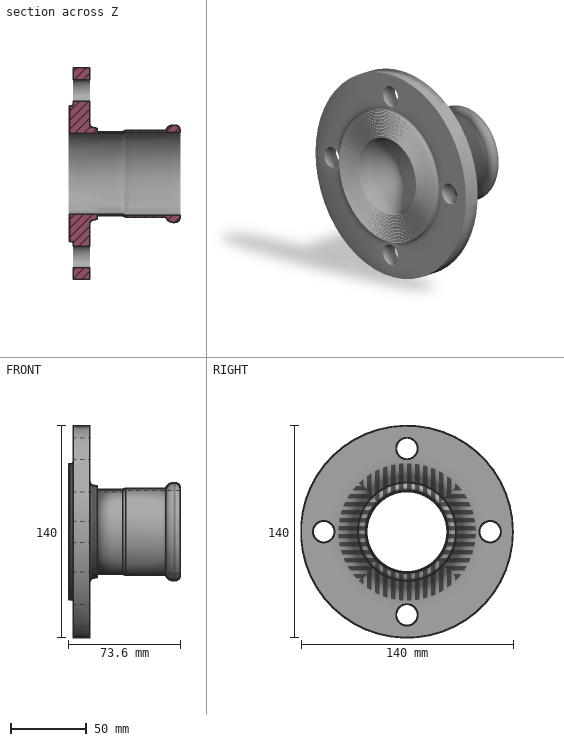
import cadquery as cq
import math

flange_radius = 70.0
flange_front = 3.0
flange_back = 14.0
overall_length = 73.6

face_radius = 90.0 / 2
face_fillet = 0.8
groove_count = 19
groove_depth = 0.5

collar_fillet = 2.4
collar_root_radius = 30.7
collar_end_radius = 30.1
collar_end = 18.9

pipe_radius = 56.0 / 2
pipe_bore_radius = 53.0 / 2
socket_radius = 57.5 / 2
socket_bore_radius = 54.7 / 2
step_start = 35.7
step_end = 37.7

bead_radius = 32.3
bead_back_rounding = 5.5
bead_mouth_rounding = 3.8
bead_land_width = 0.7
bead_land_end = overall_length - bead_mouth_rounding
bead_land_start = bead_land_end - bead_land_width

bolt_count = 4
bolt_diameter = 14.0
bolt_circle_radius = 54.9


def arc_point(centre_x, centre_y, radius, degrees):
    angle = math.radians(degrees)
    return (centre_x + radius * math.cos(angle), centre_y + radius * math.sin(angle))


def revolve_about_x(profile):
    return profile.close().revolve(360, (0, 0, 0), (1, 0, 0))


def make_body():
    face_fillet_x = flange_front - face_fillet
    face_fillet_mid = arc_point(face_fillet_x, face_radius + face_fillet, face_fillet, -45)
    collar_fillet_x = flange_back + collar_fillet
    collar_fillet_y = collar_root_radius + collar_fillet
    collar_fillet_mid = arc_point(collar_fillet_x, collar_fillet_y, collar_fillet, -135)
    back_centre_y = bead_radius - bead_back_rounding
    bead_start_angle = 180 - math.degrees(math.asin((socket_radius - back_centre_y) / bead_back_rounding))
    bead_start = arc_point(bead_land_start, back_centre_y, bead_back_rounding, bead_start_angle)
    back_mid_angle = (bead_start_angle + 90) / 2
    back_mid = arc_point(bead_land_start, back_centre_y, bead_back_rounding, back_mid_angle)
    mouth_centre_y = bead_radius - bead_mouth_rounding
    mouth_mid = arc_point(bead_land_end, mouth_centre_y, bead_mouth_rounding, 45)
    profile = (
        cq.Workplane("XY")
        .moveTo(0, pipe_bore_radius)
        .lineTo(0, face_radius)
        .lineTo(face_fillet_x, face_radius)
        .threePointArc(face_fillet_mid, (flange_front, face_radius + face_fillet))
        .lineTo(flange_front, flange_radius)
        .lineTo(flange_back, flange_radius)
        .lineTo(flange_back, collar_fillet_y)
        .threePointArc(collar_fillet_mid, (collar_fillet_x, collar_root_radius))
        .lineTo(collar_end, collar_end_radius)
        .lineTo(collar_end, pipe_radius)
        .lineTo(step_start, pipe_radius)
        .lineTo(step_end, socket_radius)
        .lineTo(*bead_start)
        .threePointArc(back_mid, (bead_land_start, bead_radius))
        .lineTo(bead_land_end, bead_radius)
        .threePointArc(mouth_mid, (overall_length, mouth_centre_y))
        .lineTo(overall_length, socket_bore_radius)
        .lineTo(step_end, socket_bore_radius)
        .lineTo(step_start, pipe_bore_radius)
    )
    return revolve_about_x(profile)


def make_serrations():
    groove_pitch = (face_radius - pipe_bore_radius) / groove_count
    profile = cq.Workplane("XY").moveTo(-groove_depth, pipe_bore_radius).lineTo(0, pipe_bore_radius)
    for index in range(groove_count):
        start_radius = pipe_bore_radius + index * groove_pitch
        profile = profile.lineTo(groove_depth, start_radius + groove_pitch / 2)
        profile = profile.lineTo(0, start_radius + groove_pitch)
    return revolve_about_x(profile.lineTo(-groove_depth, face_radius))


def make_bolt_holes():
    return (
        cq.Workplane("YZ")
        .polarArray(bolt_circle_radius, 0, 360, bolt_count)
        .circle(bolt_diameter / 2)
        .extrude(flange_back)
    )


result = make_body().cut(make_serrations()).cut(make_bolt_holes())